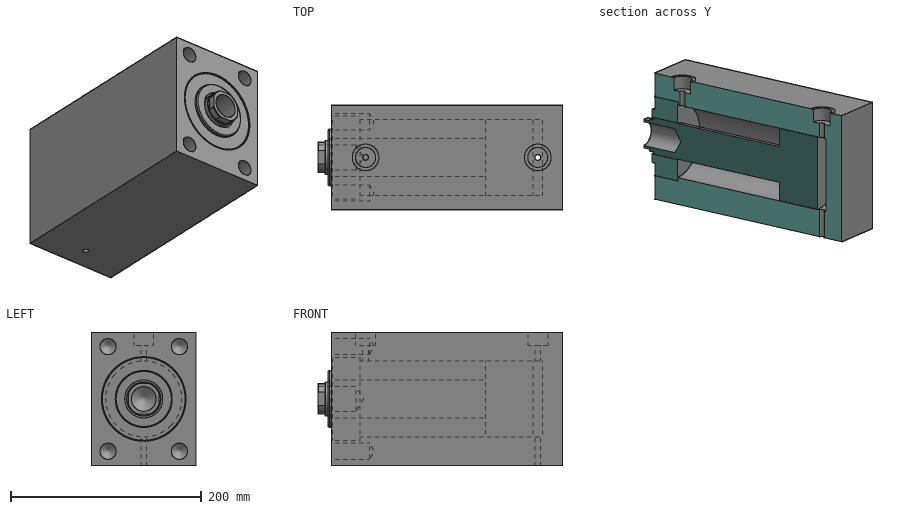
import cadquery as cq
import math


length = 243.0
width = 110.0
height = 140.0

fixing_pitch_y = 75.0
fixing_pitch_z = 110.0
fixing_diameter = 17.0
fixing_depth = 40.0
drill_point_angle = 118.0

front_port_x = 36.0
rear_port_x = length - 26.0
port_diameter = 21.0
port_depth = 14.0
port_seat_diameter = 28.0
port_seat_depth = 0.3
oil_hole_diameter = 6.0
port_end_gap = 5.0

bore_diameter = 80.0
bore_end = rear_port_x + port_end_gap
gland_diameter = 87.0
gland_depth = 30.0
gland_seat_chamfer = 1.0
collar_diameter = 60.0
collar_height = 3.5
collar_chamfer_length = 1.5
collar_chamfer_width = 1.0

rod_diameter = 40.0
shoulder_recess = 2.0
neck_diameter = 36.0
neck_chamfer = 0.5
tip_diameter = neck_diameter - 2 * neck_chamfer
tip_chamfer = 0.5
rod_tip_x = -14.0
flats_length = 7.5
across_flats = 32.0
rod_hole_diameter = 26.0
rod_hole_depth = 40.0
piston_length = 50.0
piston_back_x = rear_port_x - port_end_gap


def cylinder_x(diameter, start, end):
    """Solid cylinder on the X axis from x = start to x = end."""
    return cq.Workplane("YZ", origin=(start, 0, 0)).circle(diameter / 2).extrude(end - start)


def revolve_x(profile):
    """Solid of revolution about the X axis from (x, radius) points."""
    return cq.Workplane("XY").polyline(profile).close().revolve(360, (0, 0, 0), (1, 0, 0))


def drilled_hole(diameter, start, depth):
    """Blind hole along +X with a conical drill point beyond its full depth."""
    radius = diameter / 2
    point_length = radius / math.tan(math.radians(drill_point_angle / 2))
    bottom = start + depth
    return revolve_x([(start, 0), (start, radius), (bottom, radius), (bottom + point_length, 0)])


def make_port(x):
    """Seat, threaded port and oil hole, leading down to the cylinder axis."""
    top = cq.Workplane("XY", origin=(x, 0, height / 2))
    seat = top.circle(port_seat_diameter / 2).extrude(-port_seat_depth)
    port = top.circle(port_diameter / 2).extrude(-port_depth)
    oil_hole = top.circle(oil_hole_diameter / 2).extrude(-height / 2)
    return seat.union(port).union(oil_hole)


def make_housing():
    block = cq.Workplane("XY").box(length, width, height).translate((length / 2, 0, 0))

    seat_radius = gland_diameter / 2
    seat_mouth = revolve_x([
        (0, 0),
        (0, seat_radius + gland_seat_chamfer),
        (gland_seat_chamfer, seat_radius),
        (gland_seat_chamfer, 0),
    ])
    block = block.cut(seat_mouth)
    block = block.cut(cylinder_x(gland_diameter, 0, gland_depth))
    block = block.cut(cylinder_x(bore_diameter, gland_depth, bore_end))

    fixing_hole = drilled_hole(fixing_diameter, 0, fixing_depth)
    for side_y in (-1, 1):
        for side_z in (-1, 1):
            centre = (0, side_y * fixing_pitch_y / 2, side_z * fixing_pitch_z / 2)
            block = block.cut(fixing_hole.translate(centre))

    for port_x in (front_port_x, rear_port_x):
        block = block.cut(make_port(port_x))

    rear_oil_hole = (
        cq.Workplane("XY", origin=(rear_port_x, 0, -height / 2))
        .circle(oil_hole_diameter / 2)
        .extrude(height / 2)
    )
    return block.cut(rear_oil_hole)


def make_gland():
    collar_radius = collar_diameter / 2
    rod_radius = rod_diameter / 2
    return revolve_x([
        (-collar_height, rod_radius),
        (-collar_height, collar_radius - collar_chamfer_width),
        (collar_chamfer_length - collar_height, collar_radius),
        (0, collar_radius),
        (0, gland_diameter / 2),
        (gland_depth, gland_diameter / 2),
        (gland_depth, rod_radius),
    ])


def make_piston_rod():
    flats_end = rod_tip_x + flats_length
    shoulder_x = shoulder_recess - collar_height
    tip = cylinder_x(tip_diameter, rod_tip_x, flats_end).faces("<X").chamfer(tip_chamfer)
    square = (
        cq.Workplane("YZ", origin=(rod_tip_x, 0, 0))
        .rect(across_flats, across_flats)
        .extrude(flats_length)
    )
    tip = tip.intersect(square)
    neck = cylinder_x(neck_diameter, flats_end, shoulder_x).faces("<X").chamfer(neck_chamfer)
    rod = cylinder_x(rod_diameter, shoulder_x, piston_back_x)
    piston = cylinder_x(bore_diameter, piston_back_x - piston_length, piston_back_x)
    body = rod.union(piston).union(neck).union(tip)
    return body.cut(drilled_hole(rod_hole_diameter, rod_tip_x, rod_hole_depth))


housing = make_housing()
gland = make_gland()
piston_rod = make_piston_rod()

result = cq.Compound.makeCompound([housing.val(), gland.val(), piston_rod.val()])